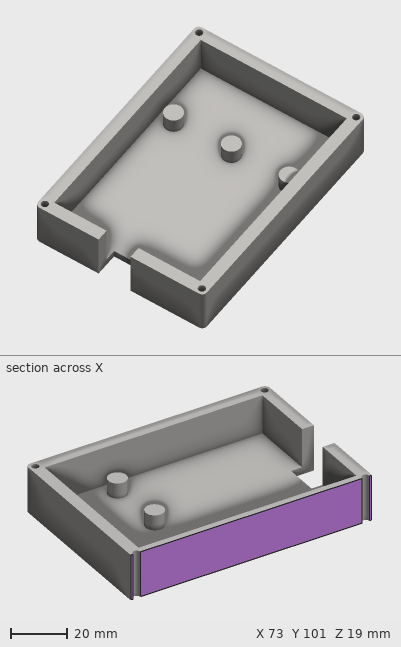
import cadquery as cq

length = 101.0
width = 73.0
height = 19.0
wall = 4.9
floor_thickness = 3.0
corner_radius = 2.0

screw_hole_diameter = 2.9
screw_hole_inset = 2.5

notch_width = 13.8
notch_depth = 9.6
notch_center_x = -2.0

post_diameter = 7.5
post_height = 6.3
post_spacing = 25.0
post_y = 19.2
post_count = 3


def make_tray():
    """Open tray with rounded outer corners, screw holes and a notch in its front wall."""
    tray = cq.Workplane("XY").box(width, length, height, centered=(True, True, False))
    tray = tray.edges("|Z").fillet(corner_radius)

    cavity = (
        cq.Workplane("XY")
        .workplane(offset=floor_thickness)
        .rect(width - 2 * wall, length - 2 * wall)
        .extrude(height - floor_thickness)
    )
    screw_holes = (
        cq.Workplane("XY")
        .rect(width - 2 * screw_hole_inset, length - 2 * screw_hole_inset, forConstruction=True)
        .vertices()
        .circle(screw_hole_diameter / 2)
        .extrude(height)
    )
    notch = (
        cq.Workplane("XY")
        .center(notch_center_x, (notch_depth - length) / 2)
        .rect(notch_width, notch_depth)
        .extrude(height)
    )
    return tray.cut(cavity).cut(screw_holes).cut(notch)


def make_post(x):
    """Post standing on the tray floor at the given X."""
    return (
        cq.Workplane("XY")
        .workplane(offset=floor_thickness)
        .center(x, post_y)
        .circle(post_diameter / 2)
        .extrude(post_height)
    )


tray = make_tray()
posts = []
for index in range(post_count):
    post_x = (index - (post_count - 1) / 2) * post_spacing
    posts.append(make_post(post_x).val())

result = cq.Compound.makeCompound([tray.val(), *posts])